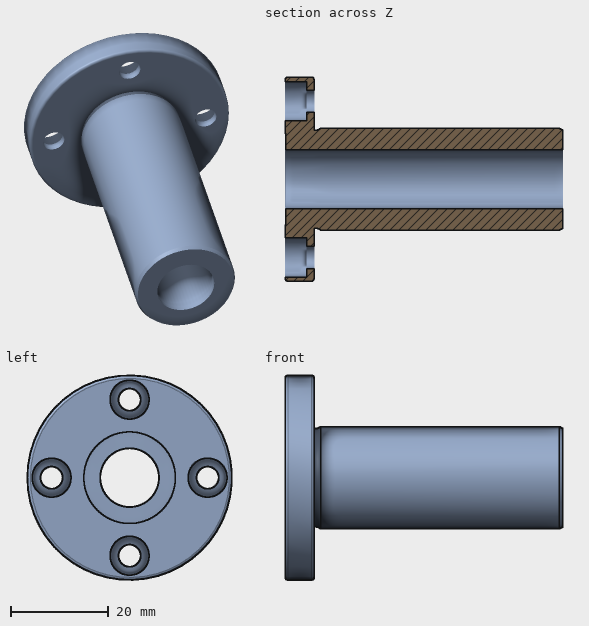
import cadquery as cq

total_length = 57.0
bore_diameter = 12.0

flange_diameter = 42.0
flange_thickness = 6.0
flange_edge_radius = 0.6

sleeve_diameter = 21.0
sleeve_chamfer_length = 0.75
sleeve_chamfer_depth = 0.4

neck_length = 1.3
neck_flange_depth = 0.4
neck_middle_depth = 0.35

seal_recess_diameter = 18.8
seal_recess_depth = 0.1

bolt_circle_diameter = 32.0
bolt_count = 4
bolt_hole_diameter = 4.5
counterbore_diameter = 8.0
counterbore_depth = 4.4


def make_body():
    """Revolve the outer profile of flange, neck and sleeve about the X axis."""
    flange_radius = flange_diameter / 2
    sleeve_radius = sleeve_diameter / 2
    neck_middle = (flange_thickness + neck_length / 2, sleeve_radius - neck_middle_depth)
    sleeve_start = flange_thickness + neck_length
    profile = (
        cq.Workplane("XY")
        .moveTo(0, 0)
        .lineTo(0, flange_radius - flange_edge_radius)
        .radiusArc((flange_edge_radius, flange_radius), flange_edge_radius)
        .lineTo(flange_thickness - flange_edge_radius, flange_radius)
        .radiusArc((flange_thickness, flange_radius - flange_edge_radius), flange_edge_radius)
        .lineTo(flange_thickness, sleeve_radius - neck_flange_depth)
        .threePointArc(neck_middle, (sleeve_start, sleeve_radius))
        .lineTo(total_length - sleeve_chamfer_length, sleeve_radius)
        .lineTo(total_length, sleeve_radius - sleeve_chamfer_depth)
        .lineTo(total_length, 0)
        .close()
    )
    return profile.revolve(360, (0, 0, 0), (1, 0, 0))


def make_bore():
    """Through bore together with the shallow recess at its flange end."""
    face = cq.Workplane("YZ")
    bore = face.circle(bore_diameter / 2).extrude(total_length)
    recess = face.circle(seal_recess_diameter / 2).extrude(seal_recess_depth)
    return bore.union(recess)


def make_bolt_holes():
    """Counterbored holes spaced evenly around the flange, sunk from its free face."""
    centres = cq.Workplane("YZ").polarArray(bolt_circle_diameter / 2, 0, 360, bolt_count)
    holes = centres.circle(bolt_hole_diameter / 2).extrude(flange_thickness)
    counterbores = centres.circle(counterbore_diameter / 2).extrude(counterbore_depth)
    return holes.union(counterbores)


result = make_body().cut(make_bore()).cut(make_bolt_holes())